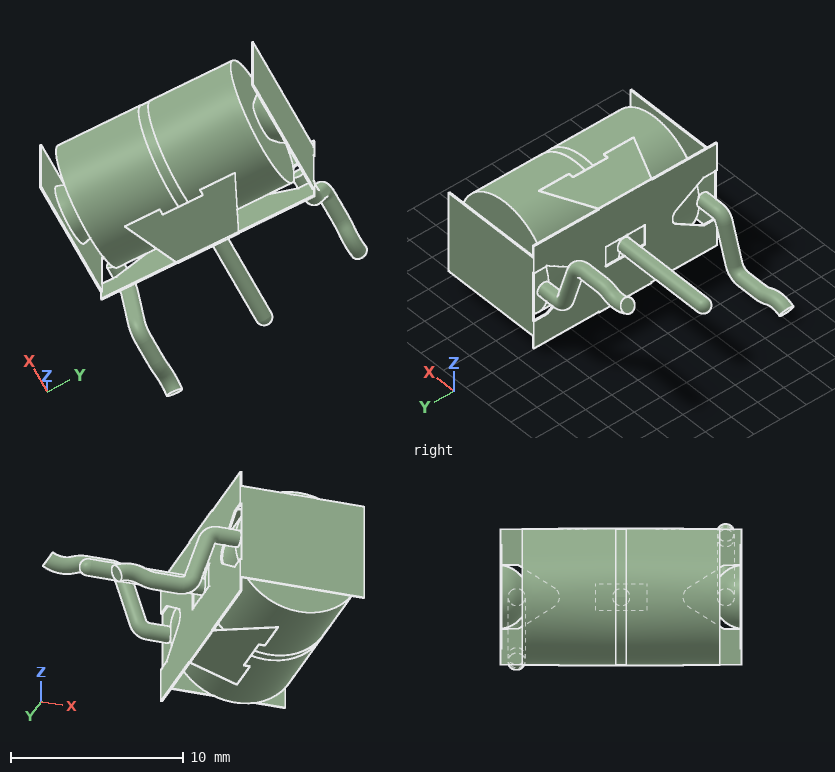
import cadquery as cq
import math


TUBE_RADIUS = 3.95
CENTRE_RING_RADIUS = 3.93
CENTRE_RING_WIDTH = 0.62
END_RING_WIDTH = 0.62
TUBE_LENGTH = 11.48
JOINT_DEPTH = 0.15

LEAD_RADIUS = 0.5
LEAD_OFFSET_Y = 6.06
LEAD_ROOT_X = -3.87
CENTRE_LEAD_TIP_X = -11.48
CENTRE_LEAD_FLAT_RADIUS = 0.002
FIRST_BEND_X = -5.16
FIRST_BEND_RADIUS = 0.67
SECOND_BEND_RADIUS = 0.89
LEG_ANGLE = 72.0
LEAD_SPREAD = 8.47
LEAD_DROP = LEAD_SPREAD / 2 - LEAD_RADIUS
STRAIGHT_LENGTH = 1.51
RISE_BEND_RADIUS = 1.71
RISE_ANGLE = 25.0
TIP_BEND_RADIUS = 1.71
TIP_ANGLE = 31.0

SHEET = 0.1
CLIP_LENGTH = 14.0
CLIP_FRONT_X = -4.07
FRONT_PLATE_HEIGHT = 7.87
SIDE_PLATE_DEPTH = 7.62
SIDE_PLATE_HEIGHT = 6.03

TAB_SHEET = 0.05
TAB_END_X = -0.58
TAB_BASE_WIDTH = 4.01
TAB_END_WIDTH = 7.25
TAB_NOTCH_WIDTH = 2.65
TAB_NOTCH_DEPTH = 0.37

CENTRE_WINDOW_WIDTH = 2.99
CENTRE_WINDOW_HEIGHT = 1.52
SIDE_WINDOW_HEIGHT = 3.7
SIDE_WINDOW_CORNER_Y = 5.97
SIDE_WINDOW_TAPER = 32.0
SIDE_WINDOW_TIP_RADIUS = 0.65

DOME_RADIUS = 1.88
DOME_CENTRE_Y = 7.22
SIDE_PLATE_INNER_Y = CLIP_LENGTH / 2 - SHEET


def y_cylinder(radius, start, end):
    return cq.Workplane("XZ", origin=(0, start, 0)).circle(radius).extrude(start - end)


def make_tube_barrel():
    """Barrel whose sleeves and end rings stay separate faces, although they share one radius."""
    half = TUBE_LENGTH / 2
    sleeve_start = CENTRE_RING_WIDTH / 2
    sleeve_end = half - END_RING_WIDTH
    barrel = y_cylinder(CENTRE_RING_RADIUS, -sleeve_start, sleeve_start)
    for side in (-1, 1):
        sleeve = y_cylinder(TUBE_RADIUS, side * sleeve_start, side * sleeve_end)
        end_ring = y_cylinder(TUBE_RADIUS, side * sleeve_end, side * half)
        barrel = barrel.union(sleeve, clean=False).union(end_ring, clean=False)
    return barrel


def make_dome(side):
    slab = y_cylinder(DOME_RADIUS, side * (TUBE_LENGTH / 2 - JOINT_DEPTH), side * SIDE_PLATE_INNER_Y)
    return cq.Workplane("XY", origin=(0, side * DOME_CENTRE_Y, 0)).sphere(DOME_RADIUS).intersect(slab)


def make_centre_lead():
    root_x = JOINT_DEPTH - CENTRE_RING_RADIUS
    lead = cq.Workplane("YZ", origin=(CENTRE_LEAD_TIP_X, 0, 0)).circle(LEAD_RADIUS)
    lead = lead.extrude(root_x - CENTRE_LEAD_TIP_X)
    return lead.faces("<X").edges().fillet(LEAD_RADIUS - CENTRE_LEAD_FLAT_RADIUS)


def step_along(point, heading, length):
    """Point in XZ reached by going this length from -X, turned by the heading towards +Z."""
    return (point[0] - length * math.cos(heading), point[1] + length * math.sin(heading))


def make_bent_lead(side):
    """Lead in a plane of constant Y, bent away from the tube axis towards side * Z."""
    leg = math.radians(LEG_ANGLE)
    rise = math.radians(RISE_ANGLE)
    bend_drop = (FIRST_BEND_RADIUS + SECOND_BEND_RADIUS) * (1 - math.cos(leg))
    leg_length = (LEAD_DROP - bend_drop) / math.sin(leg)
    stretches = [
        (LEAD_ROOT_X - FIRST_BEND_X, FIRST_BEND_RADIUS, leg),
        (leg_length, SECOND_BEND_RADIUS, -leg),
        (STRAIGHT_LENGTH, RISE_BEND_RADIUS, -rise),
        (0, TIP_BEND_RADIUS, rise + math.radians(TIP_ANGLE)),
    ]

    path = cq.Workplane("XZ", origin=(0, side * LEAD_OFFSET_Y, 0)).moveTo(LEAD_ROOT_X, 0)
    point = (LEAD_ROOT_X, 0)
    heading = 0
    for length, radius, turn in stretches:
        turn *= side
        bend_start = step_along(point, heading, length)
        if length > 0:
            path = path.lineTo(*bend_start)
        half_chord = 2 * radius * math.sin(abs(turn) / 4)
        bend_middle = step_along(bend_start, heading + turn / 4, half_chord)
        heading += turn
        point = step_along(bend_middle, heading - turn / 4, half_chord)
        path = path.threePointArc(bend_middle, point)

    root = cq.Workplane("YZ", origin=(LEAD_ROOT_X, side * LEAD_OFFSET_Y, 0))
    return root.circle(LEAD_RADIUS).sweep(path)


def make_tube():
    tube = make_tube_barrel().union(make_centre_lead(), clean=False)
    for side in (-1, 1):
        tube = tube.union(make_dome(side), clean=False).union(make_bent_lead(side), clean=False)
    return tube


def make_front_plate():
    plate = cq.Workplane("YZ", origin=(CLIP_FRONT_X, 0, 0)).rect(CLIP_LENGTH, FRONT_PLATE_HEIGHT)
    return plate.extrude(SHEET)


def make_side_plate(side):
    """Plate across one end of the tube, running back from the front plate."""
    centre_x = CLIP_FRONT_X + SIDE_PLATE_DEPTH / 2
    centre_y = side * (CLIP_LENGTH - SHEET) / 2
    plate = cq.Workplane("XY").box(SIDE_PLATE_DEPTH, SHEET, SIDE_PLATE_HEIGHT)
    return plate.translate((centre_x, centre_y, 0))


def make_tab(side):
    """Tab that touches the tube at side * Z, widening from the front plate and notched at its end."""
    notch_x = TAB_END_X - TAB_NOTCH_DEPTH
    outline = [
        (CLIP_FRONT_X, TAB_BASE_WIDTH / 2),
        (TAB_END_X, TAB_END_WIDTH / 2),
        (TAB_END_X, TAB_NOTCH_WIDTH / 2),
        (notch_x, TAB_NOTCH_WIDTH / 2),
    ]
    mirrored = [(x, -y) for x, y in reversed(outline)]
    tab = cq.Workplane("XY", origin=(0, 0, side * TUBE_RADIUS)).polyline(outline + mirrored).close()
    return tab.extrude(side * TAB_SHEET)


def make_side_window(side):
    """Window running from the end of the front plate to a rounded tip nearer the centre lead."""
    half_height = SIDE_WINDOW_HEIGHT / 2
    apex_y = SIDE_WINDOW_CORNER_Y - half_height / math.tan(math.radians(SIDE_WINDOW_TAPER))
    outline = [
        (side * CLIP_LENGTH / 2, half_height),
        (side * SIDE_WINDOW_CORNER_Y, half_height),
        (side * apex_y, 0),
        (side * SIDE_WINDOW_CORNER_Y, -half_height),
        (side * CLIP_LENGTH / 2, -half_height),
    ]
    window = cq.Workplane("YZ", origin=(CLIP_FRONT_X, 0, 0)).polyline(outline).close().extrude(SHEET)
    tip = "<Y" if side > 0 else ">Y"
    return window.edges("|X").edges(tip).fillet(SIDE_WINDOW_TIP_RADIUS)


def make_centre_window():
    window = cq.Workplane("YZ", origin=(CLIP_FRONT_X, 0, 0))
    return window.rect(CENTRE_WINDOW_WIDTH, CENTRE_WINDOW_HEIGHT).extrude(SHEET)


def make_clip():
    clip = make_front_plate()
    strip = cq.Workplane("YZ", origin=(CLIP_FRONT_X, 0, 0))
    clip = clip.union(strip.rect(TAB_BASE_WIDTH, 2 * (TUBE_RADIUS + TAB_SHEET)).extrude(SHEET))
    for side in (-1, 1):
        clip = clip.union(make_side_plate(side)).union(make_tab(side))
    clip = clip.cut(make_centre_window())
    for side in (-1, 1):
        clip = clip.cut(make_side_window(side))
    return clip


tube = make_tube()
clip = make_clip()
result = cq.Compound.makeCompound([tube.val(), clip.val()])